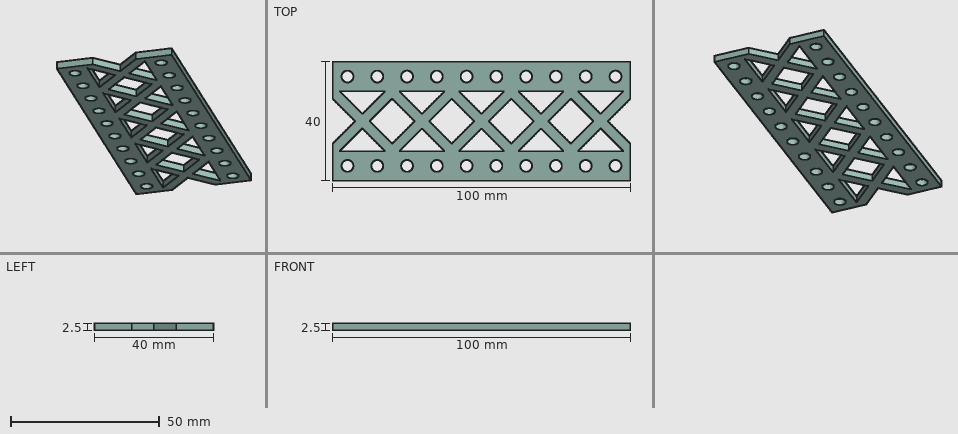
import cadquery as cq
import math

length = 100.0
width = 40.0
thickness = 2.5

rail_width = 10.0
hole_diameter = 3.9
hole_pitch = 10.0
holes_per_rail = int(length / hole_pitch)
hole_row_spacing = width - rail_width

strut_width = 3.5
lattice_height = width - 2 * rail_width
cell_pitch = lattice_height
cell_count = int(length / cell_pitch)
strut_angle = 45.0
strut_length = 2 * lattice_height / math.sin(math.radians(strut_angle))


def make_rails():
    """Two solid strips along the long edges of the plate."""
    rail_offset = (width - rail_width) / 2
    return (
        cq.Workplane("XY")
        .pushPoints([(0, -rail_offset), (0, rail_offset)])
        .rect(length, rail_width)
        .extrude(thickness)
    )


def make_strut(center_x, angle):
    """One diagonal bar through the lattice mid-line, long enough to end inside the rails."""
    return (
        cq.Workplane("XY")
        .rect(strut_length, strut_width)
        .extrude(thickness)
        .rotate((0, 0, 0), (0, 0, 1), angle)
        .translate((center_x, 0, 0))
    )


def make_lattice():
    """A row of X-shaped crossings, trimmed to the plate outline and rail centre lines."""
    first_x = -(cell_count - 1) * cell_pitch / 2
    struts = cq.Workplane("XY")
    for index in range(cell_count):
        center_x = first_x + index * cell_pitch
        for angle in (strut_angle, -strut_angle):
            struts = struts.union(make_strut(center_x, angle))
    envelope = cq.Workplane("XY").rect(length, hole_row_spacing).extrude(thickness)
    return struts.intersect(envelope)


def drill_rail_holes(plate):
    """An evenly spaced row of through holes on the centre line of each rail."""
    return (
        plate.faces(">Z")
        .workplane(origin=(0, 0, thickness))
        .rarray(hole_pitch, hole_row_spacing, holes_per_rail, 2)
        .hole(hole_diameter)
    )


plate = make_rails().union(make_lattice()).clean()
result = drill_rail_holes(plate)